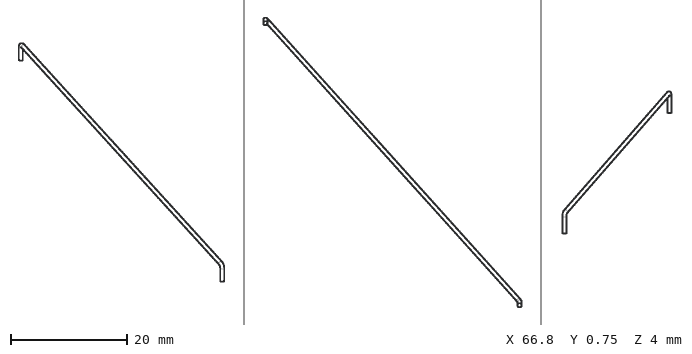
import cadquery as cq

length = 66.75
height = 4.0
wire_diameter = 0.75
bend_radius = 0.6

wire_radius = wire_diameter / 2
leg_x = length / 2 - wire_radius
span_z = height - wire_radius
bend_start_z = span_z - bend_radius
bend_end_x = leg_x - bend_radius

centre_line = (
    cq.Workplane("XZ")
    .moveTo(-leg_x, 0)
    .lineTo(-leg_x, bend_start_z)
    .tangentArcPoint((-bend_end_x, span_z), relative=False)
    .lineTo(bend_end_x, span_z)
    .tangentArcPoint((leg_x, bend_start_z), relative=False)
    .lineTo(leg_x, 0)
)

result = (
    cq.Workplane("XY")
    .center(-leg_x, 0)
    .circle(wire_radius)
    .sweep(centre_line)
)